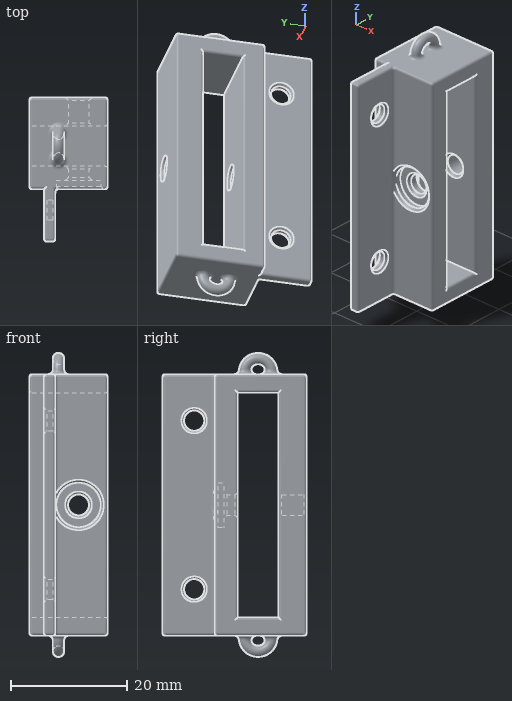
import cadquery as cq


overall_height = 52.3
block_width = 13.5
block_depth = 15.85
block_height = 45.0
edge_radius = 0.5

tab_length = 9.0
tab_thickness = 2.0
tab_left = 2.5

tab_hole_diameter = 3.45
tab_hole_chamfer = 0.45
tab_hole_spacing = 29.0
tab_hole_from_tip = 5.5

window_depth = 6.9
window_height = 38.55
window_center_y = 7.5

bore_diameter = 3.55
bore_chamfer = 0.5
bore_center_x = 8.45
counterbore_diameter = 7.65
counterbore_depth = 1.55

loop_center_x = 5.0
loop_center_y = window_center_y
loop_radius = 2.35
loop_wire_radius = 1.0
loop_foot_radius = 0.8
loop_embedding = 0.5

half_height = block_height / 2
tab_right = tab_left + tab_thickness
tab_hole_y = tab_hole_from_tip - tab_length
loop_peak = overall_height / 2
loop_center_z = loop_peak - loop_radius - loop_wire_radius

margin = 0.05


def edges_in_box(body, center, size):
    """Edges of the body that lie wholly inside an axis-aligned box."""
    low = tuple(c - s / 2 - margin for c, s in zip(center, size))
    high = tuple(c + s / 2 + margin for c, s in zip(center, size))
    return body.edges(cq.selectors.BoxSelector(low, high, boundingbox=True))


def make_body():
    """Block and tab, rounded on every edge but the tab's -X root corner."""
    outline = [
        (0, 0),
        (tab_left, 0),
        (tab_left, -tab_length),
        (tab_right, -tab_length),
        (tab_right, 0),
        (block_width, 0),
        (block_width, block_depth),
        (0, block_depth),
    ]
    body = cq.Workplane("XY").polyline(outline).close().extrude(half_height, both=True)
    root_corners = [cq.Vector(tab_left, 0, 0), cq.Vector(tab_right, 0, 0)]
    outer_edges = body.edges("|Z").filter(
        lambda edge: all((edge.Center() - corner).Length > margin for corner in root_corners)
    )
    body = outer_edges.fillet(edge_radius).faces("<Z or >Z").edges().fillet(edge_radius)
    tab_root = edges_in_box(body, (tab_right, 0, 0), (0, 0, block_height))
    return tab_root.fillet(edge_radius)


def cut_window(body):
    """Rectangular window along X with a rounded rim on both faces."""
    center = (block_width / 2, window_center_y, 0)
    window = cq.Workplane("XY").box(block_width + 2 * margin, window_depth, window_height).translate(center)
    body = body.cut(window)
    for face_x in (0, block_width):
        rim = edges_in_box(body, (face_x, window_center_y, 0), (0, window_depth, window_height))
        body = rim.fillet(edge_radius)
    return body


def cut_tab_holes(body):
    """Two screw holes along X through the tab, chamfered on both faces."""
    hole_places = [(tab_hole_y, side * tab_hole_spacing / 2) for side in (-1, 1)]
    holes = cq.Workplane("YZ").pushPoints(hole_places).circle(tab_hole_diameter / 2).extrude(block_width)
    body = body.cut(holes)
    for y, z in hole_places:
        for face_x in (tab_left, tab_right):
            rim = edges_in_box(body, (face_x, y, z), (0, tab_hole_diameter, tab_hole_diameter))
            body = rim.chamfer(tab_hole_chamfer)
    return body


def cut_bore(body):
    """Chamfered hole along Y through both walls, counterbored from the -Y face."""
    start = cq.Workplane("XZ", origin=(bore_center_x, -edge_radius, 0))
    counterbore = start.circle(counterbore_diameter / 2).extrude(-(edge_radius + counterbore_depth))
    hole = start.circle(bore_diameter / 2).extrude(-(2 * edge_radius + block_depth))
    body = body.cut(hole).cut(counterbore)

    window_front = window_center_y - window_depth / 2
    window_back = window_center_y + window_depth / 2
    for face_y in (counterbore_depth, window_front, window_back, block_depth):
        center = (bore_center_x, face_y, 0)
        rim = edges_in_box(body, center, (bore_diameter, 0, bore_diameter))
        body = rim.chamfer(bore_chamfer)

    mouth_center = (bore_center_x, -edge_radius / 2, 0)
    mouth = edges_in_box(body, mouth_center, (counterbore_diameter, edge_radius, counterbore_diameter))
    return mouth.chamfer(bore_chamfer)


def make_top_loop():
    """Upper part of a ring lying in the YZ plane, with its ends sunk into the block."""
    ring = (
        cq.Workplane("XY", origin=(loop_center_x, loop_center_y, loop_center_z))
        .center(0, loop_radius)
        .circle(loop_wire_radius)
        .revolve(360, (0, -loop_radius), (1, -loop_radius))
    )
    ring_size = 2 * (loop_radius + loop_wire_radius)
    kept_bottom = half_height - loop_embedding
    kept_space = (
        cq.Workplane("XY", origin=(loop_center_x, loop_center_y, kept_bottom))
        .rect(ring_size, ring_size + 2 * margin)
        .extrude(loop_peak - kept_bottom + margin)
    )
    return ring.intersect(kept_space)


def add_loops(body):
    """Loops on the top and bottom faces, blended into the block at their feet."""
    top_loop = make_top_loop()
    body = body.union(top_loop).union(top_loop.mirror("XY"))
    wire_diameter = 2 * loop_wire_radius
    feet_span = 2 * loop_radius + wire_diameter
    for face_z in (half_height, -half_height):
        feet = edges_in_box(body, (loop_center_x, loop_center_y, face_z), (wire_diameter, feet_span, 0))
        body = feet.fillet(loop_foot_radius)
    return body


result = add_loops(cut_bore(cut_tab_holes(cut_window(make_body()))))